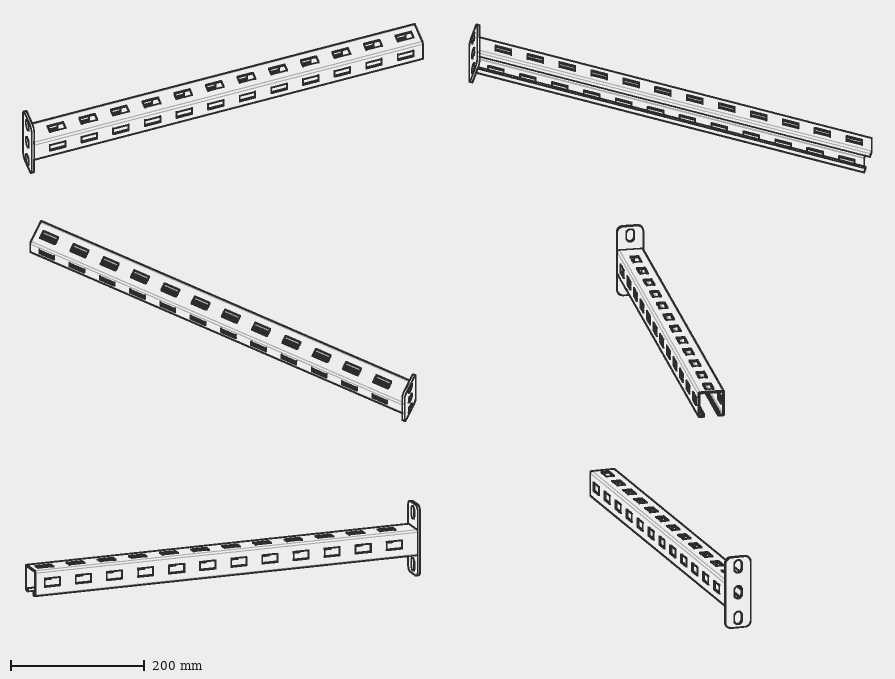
import cadquery as cq

LENGTH = 619.0
WIDTH = 40.0

PLATE_HEIGHT = 110.0
PLATE_THICKNESS = 4.0
PLATE_CORNER_RADIUS = 9.0
MOUNT_SLOT_WIDTH = 12.5
MOUNT_SLOT_HEIGHT = 20.0
MOUNT_SLOT_COUNT = 3
MOUNT_SLOT_PITCH = 40.0

CHANNEL_HEIGHT = WIDTH
CHANNEL_Z = -2.0
WALL = 2.5
BEND_RADIUS = 3.0
SLIT_WIDTH = 21.5
LIP_HEIGHT = 5.0

SLOT_COUNT = 12
SLOT_ROW_LENGTH = 550.0
SLOT_PITCH = SLOT_ROW_LENGTH / (SLOT_COUNT - 1)
SLOT_LENGTH = 25.0
SIDE_SLOT_WIDTH = 13.0
TOP_SLOT_WIDTH = 12.5
TOP_SLOT_END_DISTANCE = 22.0
SIDE_SLOT_END_DISTANCE = 27.0

PLATE_FACE_Y = -LENGTH / 2
FREE_END_Y = LENGTH / 2
ARM_START_Y = PLATE_FACE_Y + PLATE_THICKNESS
ARM_LENGTH = FREE_END_Y - ARM_START_Y


def make_plate():
    """Upright plate with rounded corners and a column of three obround slots."""
    plate = (
        cq.Workplane("XY")
        .box(WIDTH, PLATE_THICKNESS, PLATE_HEIGHT)
        .edges("|Y")
        .fillet(PLATE_CORNER_RADIUS)
    )
    plate = (
        plate.faces("<Y")
        .workplane(centerOption="CenterOfBoundBox")
        .rarray(WIDTH, MOUNT_SLOT_PITCH, 1, MOUNT_SLOT_COUNT)
        .slot2D(MOUNT_SLOT_HEIGHT, MOUNT_SLOT_WIDTH, angle=90)
        .cutThruAll()
    )
    return plate.translate((0, PLATE_FACE_Y + PLATE_THICKNESS / 2, 0))


def slot_centers(end_distance):
    """Y positions of one row of slots, counted from the free end."""
    return [FREE_END_Y - end_distance - i * SLOT_PITCH for i in range(SLOT_COUNT)]


def rounded_bar(width, height, radius):
    """Bar as long as the arm, with its four long edges rounded."""
    return cq.Workplane("XY").box(width, ARM_LENGTH, height).edges("|Y").fillet(radius)


def make_channel_blank():
    """Bent sheet channel whose bottom slit is edged by lips turned up into the channel."""
    outside = rounded_bar(WIDTH, CHANNEL_HEIGHT, BEND_RADIUS)
    inside = rounded_bar(WIDTH - 2 * WALL, CHANNEL_HEIGHT - 2 * WALL, BEND_RADIUS - WALL)
    lips = cq.Workplane("XY").box(SLIT_WIDTH + 2 * WALL, ARM_LENGTH, LIP_HEIGHT)
    slit = cq.Workplane("XY").box(SLIT_WIDTH, ARM_LENGTH, 2 * LIP_HEIGHT)
    bottom_z = -CHANNEL_HEIGHT / 2
    blank = (
        outside.cut(inside)
        .union(lips.translate((0, 0, bottom_z + LIP_HEIGHT / 2)))
        .cut(slit.translate((0, 0, bottom_z + LIP_HEIGHT / 2)))
    )
    return blank.translate((0, ARM_START_Y + ARM_LENGTH / 2, CHANNEL_Z))


def make_channel():
    """Channel with one row of slots in the top and one through both side walls."""
    channel = make_channel_blank()
    top_cutter = cq.Workplane("XY").box(TOP_SLOT_WIDTH, SLOT_LENGTH, 2 * WALL)
    for y in slot_centers(TOP_SLOT_END_DISTANCE):
        channel = channel.cut(top_cutter.translate((0, y, CHANNEL_Z + CHANNEL_HEIGHT / 2)))
    side_cutter = cq.Workplane("XY").box(2 * WIDTH, SLOT_LENGTH, SIDE_SLOT_WIDTH)
    for y in slot_centers(SIDE_SLOT_END_DISTANCE):
        channel = channel.cut(side_cutter.translate((0, y, CHANNEL_Z)))
    return channel


plate = make_plate()
channel = make_channel()

result = cq.Compound.makeCompound([plate.val(), channel.val()])